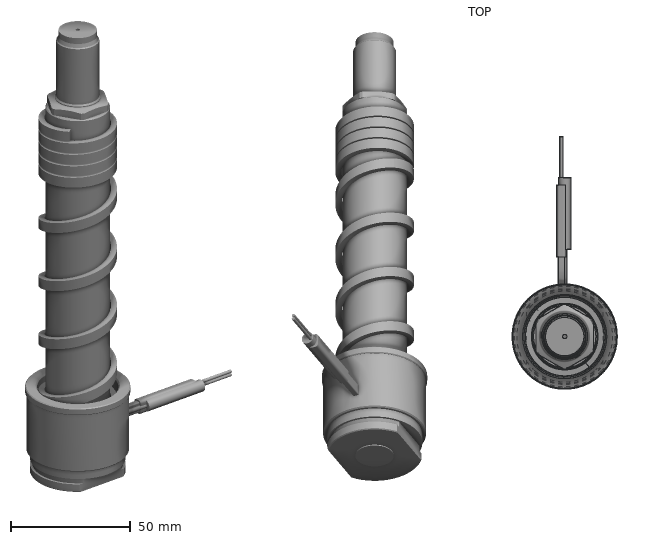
import cadquery as cq
import math

TOTAL_HEIGHT = 206.3
TOTAL_DEPTH = 105.5

ROD_RADIUS = 9.0
TIP_RADIUS = 8.0
TIP_LENGTH = 2.7
TIP_CONE_LENGTH = 1.6
TIP_SHOULDER_CHAMFER = 0.4
ROD_FLARE_RADIUS = 9.6
ROD_FLARE_TOP = 175.8
ROD_FLARE_CONE = 0.6
CENTRE_MARK_DIAMETER = 1.8
CENTRE_MARK_DEPTH = 1.0

TUBE_RADIUS = 13.5
TUBE_TOP = 170.8
TUBE_TOP_CHAMFER = 0.5

HEX_ACROSS_FLATS = 24.0
HEX_SIDES = 6
HEX_CORNER_RADIUS = 13.45
HEX_BOTTOM = TUBE_TOP
HEX_TOP_AT_ROD = 174.8
HEX_TOP_AT_CORNERS = 173.7
HEX_CONE_START_RADIUS = 10.0

FLANGE_RADIUS = 22.0
FLANGE_TOP = 40.4
FLANGE_THICKNESS = 3.2
FLANGE_CHAMFER = 0.4
BODY_RADIUS = 21.5
BODY_BOTTOM = 10.6
BODY_CHAMFER = 0.5
STEP_RADIUS = 20.0
STEP_BOTTOM = 6.6
RECESS_RADIUS = 17.0
RECESS_CHAMFER = 0.6

GROOVE_RADIUS = 19.0
GROOVE_BOTTOM = 4.1
FOOT_BOTTOM = 0.4
FOOT_CHAMFER = 0.4
FOOT_ACROSS_FLATS = 32.0
BOSS_RADIUS = 8.0

SPRING_OUTER_RADIUS = 16.4
SPRING_CLEARANCE = 0.4
SPRING_SEAT_DEPTH = 0.3
WIRE_HEIGHT = 4.6
CLOSED_PITCH = 5.35
OPEN_PITCH = 27.1
SPRING_TOP = 166.6
SPRING_START_ANGLE = -51.4
CLOSED_SWEEP = 1486.0
BLEND_SWEEP = 118.0
OPEN_SWEEP = 1285.0
SPLINE_STEP = 15.0

CABLE_HEIGHT = 19.5
FLAT_CABLE_X = -1.4
FLAT_CABLE_WIDTH = 2.6
FLAT_CABLE_HEIGHT = 4.9
FLAT_CABLE_FILLET = 0.55
FLAT_SLEEVE_WALL = 0.7
FLAT_SLEEVE_START = 33.3
SLEEVE_LENGTH = 30.0
ROUND_CABLE_RADIUS = 1.0
ROUND_SLEEVE_RADIUS = 2.65
ROUND_SLEEVE_START = 36.4
WIRE_RADIUS = 0.7
WIRE_SPACING = 1.6
CABLE_END = TOTAL_DEPTH - FLANGE_RADIUS
CABLE_ROOT = 18.5
CABLE_OVERLAP = 1.0


def revolved(profile):
    """Turn a closed (radius, height) outline about the Z axis."""
    outline = cq.Workplane("XZ").polyline(profile).close()
    return outline.revolve(360, (0, 0, 0), (0, 1, 0))


def cylinder(radius, bottom, top):
    return cq.Workplane("XY").workplane(offset=bottom).circle(radius).extrude(top - bottom)


def make_rod():
    shoulder = TOTAL_HEIGHT - TIP_LENGTH - TIP_CONE_LENGTH
    profile = [
        (0, TUBE_TOP - TUBE_TOP_CHAMFER),
        (ROD_FLARE_RADIUS, TUBE_TOP - TUBE_TOP_CHAMFER),
        (ROD_FLARE_RADIUS, ROD_FLARE_TOP - ROD_FLARE_CONE),
        (ROD_RADIUS, ROD_FLARE_TOP),
        (ROD_RADIUS, shoulder - TIP_SHOULDER_CHAMFER),
        (ROD_RADIUS - TIP_SHOULDER_CHAMFER, shoulder),
        (TIP_RADIUS, TOTAL_HEIGHT - TIP_LENGTH),
        (TIP_RADIUS, TOTAL_HEIGHT),
        (0, TOTAL_HEIGHT),
    ]
    return revolved(profile).faces(">Z").workplane().hole(CENTRE_MARK_DIAMETER, CENTRE_MARK_DEPTH)


def make_hex_collar():
    across_corners = HEX_ACROSS_FLATS / math.cos(math.pi / HEX_SIDES)
    prism = (
        cq.Workplane("XY").workplane(offset=HEX_BOTTOM)
        .polygon(HEX_SIDES, across_corners).extrude(HEX_TOP_AT_ROD - HEX_BOTTOM)
        .rotate((0, 0, 0), (0, 0, 1), 180 / HEX_SIDES)
    )
    envelope = revolved([
        (0, HEX_BOTTOM),
        (HEX_CORNER_RADIUS, HEX_BOTTOM),
        (HEX_CORNER_RADIUS, HEX_TOP_AT_CORNERS),
        (HEX_CONE_START_RADIUS, HEX_TOP_AT_ROD),
        (0, HEX_TOP_AT_ROD),
    ])
    return prism.intersect(envelope)


def make_housing(recess_floor):
    flange_bottom = FLANGE_TOP - FLANGE_THICKNESS
    flange = cylinder(FLANGE_RADIUS, flange_bottom, FLANGE_TOP).edges().chamfer(FLANGE_CHAMFER)
    body = cylinder(BODY_RADIUS, BODY_BOTTOM, FLANGE_TOP - FLANGE_CHAMFER)
    body = body.faces("<Z").edges().chamfer(BODY_CHAMFER)
    step = cylinder(STEP_RADIUS, STEP_BOTTOM, BODY_BOTTOM)
    recess = cylinder(RECESS_RADIUS, recess_floor, FLANGE_TOP)
    housing = flange.union(body).union(step).cut(recess)
    recess_rim = housing.faces(">Z").edges(cq.selectors.RadiusNthSelector(0))
    return recess_rim.chamfer(RECESS_CHAMFER)


def make_foot():
    groove = cylinder(GROOVE_RADIUS, GROOVE_BOTTOM, STEP_BOTTOM)
    nut = cylinder(STEP_RADIUS, FOOT_BOTTOM, GROOVE_BOTTOM).faces("<Z").edges().chamfer(FOOT_CHAMFER)
    flats = cq.Workplane("XY").box(
        FOOT_ACROSS_FLATS, 2 * FLANGE_RADIUS, STEP_BOTTOM, centered=(True, True, False)
    )
    boss = cylinder(BOSS_RADIUS, 0, FOOT_BOTTOM)
    return groove.union(nut).intersect(flats).union(boss)


def closed_drop(sweep):
    return CLOSED_PITCH * sweep / 360


def blend_drop(sweep):
    mean_pitch = CLOSED_PITCH + (OPEN_PITCH - CLOSED_PITCH) * sweep / BLEND_SWEEP / 2
    return mean_pitch * sweep / 360


def open_drop(sweep):
    return OPEN_PITCH * sweep / 360


def reversed_blend_drop(sweep):
    return blend_drop(BLEND_SWEEP) - blend_drop(BLEND_SWEEP - sweep)


SPRING_SECTIONS = [
    (CLOSED_SWEEP, closed_drop),
    (BLEND_SWEEP, blend_drop),
    (OPEN_SWEEP, open_drop),
    (BLEND_SWEEP, reversed_blend_drop),
    (CLOSED_SWEEP, closed_drop),
]


def make_spring_section(start_angle, top, sweep, drop):
    """Build one length of flat wire, bounded by faces ruled between its four corner curves."""
    inner = TUBE_RADIUS + SPRING_CLEARANCE
    steps = math.ceil(sweep / SPLINE_STEP)

    def corner_edge(radius, lowering):
        points = []
        for i in range(steps + 1):
            turned = sweep * i / steps
            angle = math.radians(start_angle - turned)
            height = top - lowering - drop(turned)
            points.append(cq.Vector(radius * math.cos(angle), radius * math.sin(angle), height))
        return cq.Edge.makeSpline(points)

    edges = [
        corner_edge(inner, 0),
        corner_edge(SPRING_OUTER_RADIUS, 0),
        corner_edge(SPRING_OUTER_RADIUS, WIRE_HEIGHT),
        corner_edge(inner, WIRE_HEIGHT),
    ]
    sides = [cq.Face.makeRuledSurface(edges[i - 1], edges[i]) for i in range(len(edges))]
    ends = []
    for end in (0, 1):
        corners = [edge.positionAt(end) for edge in edges]
        ends.append(cq.Face.makeFromWires(cq.Wire.makePolygon(corners, close=True)))
    return cq.Solid.makeSolid(cq.Shell.makeShell(sides + ends))


def make_spring():
    """Return the spring's sections from the top down, and the height of its lower end."""
    sections = []
    angle = SPRING_START_ANGLE
    top = SPRING_TOP
    for sweep, drop in SPRING_SECTIONS:
        sections.append(make_spring_section(angle, top, sweep, drop))
        angle -= sweep
        top -= drop(sweep)
    return sections, top - WIRE_HEIGHT


def along_y(sketch, start, end):
    """Extrude a closed XZ outline from Y = start to Y = end."""
    return sketch.extrude(start - end).translate((0, start, 0))


def rounded_bar(width, height, fillet, start, end):
    outline = cq.Workplane("XZ").center(FLAT_CABLE_X, CABLE_HEIGHT).rect(width, height)
    return along_y(outline, start, end).edges("|Y").fillet(fillet)


def round_bar(x, z, radius, start, end):
    return along_y(cq.Workplane("XZ").center(x, z).circle(radius), start, end)


def make_cables():
    flat_end = FLAT_SLEEVE_START + SLEEVE_LENGTH
    round_end = ROUND_SLEEVE_START + SLEEVE_LENGTH
    cables = rounded_bar(
        FLAT_CABLE_WIDTH, FLAT_CABLE_HEIGHT, FLAT_CABLE_FILLET, CABLE_ROOT, FLAT_SLEEVE_START + CABLE_OVERLAP
    )
    cables = cables.union(rounded_bar(
        FLAT_CABLE_WIDTH + 2 * FLAT_SLEEVE_WALL,
        FLAT_CABLE_HEIGHT + 2 * FLAT_SLEEVE_WALL,
        FLAT_CABLE_FILLET + FLAT_SLEEVE_WALL,
        FLAT_SLEEVE_START,
        flat_end,
    ))
    cables = cables.union(round_bar(0, CABLE_HEIGHT, ROUND_CABLE_RADIUS, CABLE_ROOT, round_end))
    cables = cables.union(
        round_bar(0, CABLE_HEIGHT, ROUND_SLEEVE_RADIUS, ROUND_SLEEVE_START, round_end)
    )
    for side in (-1, 1):
        z = CABLE_HEIGHT + side * WIRE_SPACING / 2
        cables = cables.union(round_bar(FLAT_CABLE_X, z, WIRE_RADIUS, flat_end - CABLE_OVERLAP, CABLE_END))
    return cables


def make_tube(bottom):
    tube = cylinder(TUBE_RADIUS, bottom, TUBE_TOP)
    return tube.faces(">Z").edges().chamfer(TUBE_TOP_CHAMFER)


spring_sections, spring_bottom = make_spring()
recess_floor = spring_bottom + SPRING_SEAT_DEPTH

result = (
    make_housing(recess_floor)
    .union(make_foot())
    .union(make_cables())
    .union(make_tube(recess_floor))
    .union(make_hex_collar())
    .union(make_rod())
)
for section in reversed(spring_sections):
    result = result.union(cq.Workplane(section))